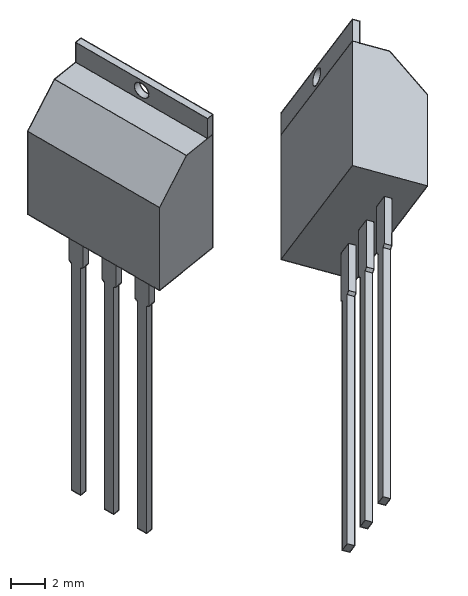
import cadquery as cq

width = 10.15
depth = 4.85
height = 32.52

tab_height = 1.6
tab_thickness = 0.5
hole_diameter = 1.1

housing_height = 9.1
chamfer_size = 2.45

lead_count = 3
lead_pitch = 2.55
lead_thickness = 0.5
lead_back_offset = 2.95
shoulder_width = 1.1
shoulder_length = 3.45
tip_width = 0.7
taper_length = 0.15

front_y = -depth / 2
back_y = depth / 2
top_z = height / 2
tip_z = -height / 2
housing_top_z = top_z - tab_height
housing_bottom_z = housing_top_z - housing_height
lead_back_y = back_y - lead_back_offset


def make_housing():
    """Block with one large chamfer along its upper front edge."""
    profile = [
        (back_y, housing_bottom_z),
        (back_y, housing_top_z),
        (front_y + chamfer_size, housing_top_z),
        (front_y, housing_top_z - chamfer_size),
        (front_y, housing_bottom_z),
    ]
    return cq.Workplane("YZ").polyline(profile).close().extrude(width / 2, both=True)


def make_tab():
    """Plate standing on the back edge of the housing, with a centred hole."""
    plate = cq.Workplane("XY").box(width, tab_thickness, tab_height)
    drilled = plate.faces("<Y").workplane().hole(hole_diameter)
    return drilled.translate((0, back_y - tab_thickness / 2, housing_top_z + tab_height / 2))


def make_lead(center_x):
    """Flat lead with a wide shoulder that tapers to a narrow tip."""
    shoulder_end_z = housing_bottom_z - shoulder_length
    taper_end_z = shoulder_end_z - taper_length
    half_shoulder = shoulder_width / 2
    half_tip = tip_width / 2
    profile = [
        (-half_shoulder, housing_bottom_z),
        (half_shoulder, housing_bottom_z),
        (half_shoulder, shoulder_end_z),
        (half_tip, taper_end_z),
        (half_tip, tip_z),
        (-half_tip, tip_z),
        (-half_tip, taper_end_z),
        (-half_shoulder, shoulder_end_z),
    ]
    blade = cq.Workplane("XZ").polyline(profile).close().extrude(lead_thickness)
    return blade.translate((center_x, lead_back_y, 0))


housing = make_housing()
tab = make_tab()
leads = []
for index in range(lead_count):
    center_x = (index - (lead_count - 1) / 2) * lead_pitch
    leads.append(make_lead(center_x).val())

result = cq.Compound.makeCompound([housing.val(), tab.val(), *leads])